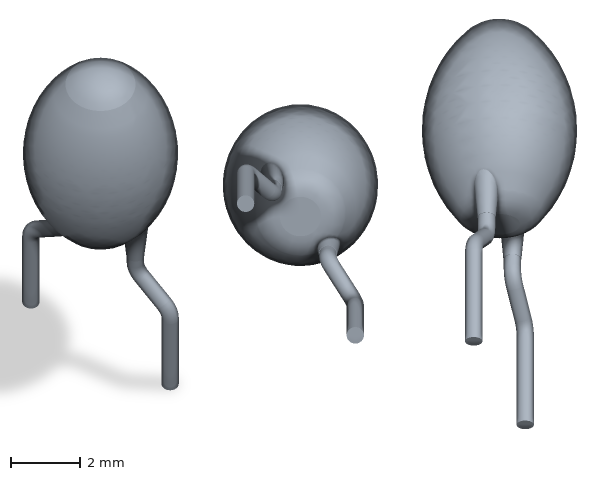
import cadquery as cq
import math

total_height = 11.89
bead_radius = 2.241
bead_widest_z = 8.42
crown_radius = 1.01
crown_rim_z = 11.49
base_rim_radius = 1.31
base_rim_z = 5.68
base_flat_radius = 0.6
base_z = 5.28

foot_span = 5.58
wire_diameter = 0.5
foot_x = (foot_span - wire_diameter) / 2
neck_x = foot_x / 2
foot_bend_z = 2.94
neck_bend_z = 4.51
bend_radius = 0.6

collar_base_z = 4.83
collar_base_radius = 0.26
collar_height = 2.02
collar_flare = 0.09
collar_top_radius = collar_base_radius + collar_flare * collar_height


def dome_radius(rim_radius, rise):
    """Radius of the arc meeting the axis squarely and rising over the rim."""
    return (rim_radius**2 + rise**2) / (2 * rise)


def make_bead():
    """Egg-shaped body with a domed crown and a rounded, flat-centred base."""
    base_round_radius = dome_radius(base_rim_radius - base_flat_radius, base_rim_z - base_z)
    crown_dome_radius = dome_radius(crown_radius, total_height - crown_rim_z)
    return (
        cq.Workplane("XZ")
        .moveTo(0, base_z)
        .lineTo(base_flat_radius, base_z)
        .radiusArc((base_rim_radius, base_rim_z), -base_round_radius)
        .threePointArc((bead_radius, bead_widest_z), (crown_radius, crown_rim_z))
        .radiusArc((0, total_height), -crown_dome_radius)
        .close()
        .revolve(360, (0, 0, 0), (0, 1, 0))
    )


def make_collar(side, bead):
    """Cone flaring upward from the lead, trimmed where it meets the bead."""
    cone = cq.Solid.makeCone(
        collar_base_radius,
        collar_top_radius,
        collar_height,
        pnt=cq.Vector(side * neck_x, 0, collar_base_z),
    )
    return cq.Workplane(cone).cut(bead)


def make_lead(side):
    """Round wire whose sloping run is tangent to two equal bends."""
    neck_center_x = neck_x + bend_radius
    foot_center_x = foot_x - bend_radius
    center_run = foot_center_x - neck_center_x
    center_drop = neck_bend_z - foot_bend_z
    center_distance = math.hypot(center_run, center_drop)
    turn = math.asin(2 * bend_radius / center_distance) + math.atan2(center_run, center_drop)

    def neck_bend_point(angle):
        x = neck_center_x - bend_radius * math.cos(angle)
        return (side * x, neck_bend_z - bend_radius * math.sin(angle))

    def foot_bend_point(angle):
        x = foot_center_x + bend_radius * math.cos(angle)
        return (side * x, foot_bend_z + bend_radius * math.sin(angle))

    path = (
        cq.Workplane("XZ")
        .moveTo(side * foot_x, 0)
        .lineTo(side * foot_x, foot_bend_z)
        .threePointArc(foot_bend_point(turn / 2), foot_bend_point(turn))
        .lineTo(*neck_bend_point(turn))
        .threePointArc(neck_bend_point(turn / 2), neck_bend_point(0))
        .lineTo(side * neck_x, collar_base_z)
    )
    return cq.Workplane("XY").center(side * foot_x, 0).circle(wire_diameter / 2).sweep(path)


bead = make_bead()
collars = []
leads = []
for side in (-1, 1):
    collars.append(make_collar(side, bead).val())
    leads.append(make_lead(side).val())

collar_solids = [solid for collar in collars for solid in collar.Solids()]

result = cq.Compound.makeCompound([bead.val(), *collar_solids, *leads])